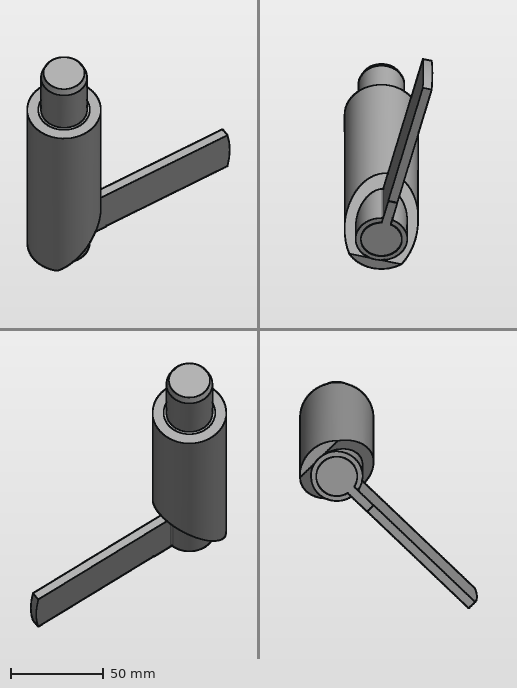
import cadquery as cq
import math

OVERALL_HEIGHT = 148.0

SLEEVE_RADIUS = 20.0
SLEEVE_TOP = 116.2
BORE_DIAMETER = 28.0
BORE_RADIUS = BORE_DIAMETER / 2
RAMP_HEIGHT_ON_AXIS = 14.0

HUB_RADIUS = BORE_RADIUS
STEM_DIAMETER = 25.0
STEM_RADIUS = STEM_DIAMETER / 2
TIP_RADIUS = 11.1
TIP_TAPER_LENGTH = 3.7

BLADE_THICKNESS = 5.0
BLADE_HEIGHT = 27.0
BLADE_REACH = 104.5
BLADE_END_BULGE = 1.5
ROOT_FILLET = 1.0

PAD_HEIGHT = 0.5
PAD_RADIUS = 11.1
PAD_REACH = 25.6

BASE_Z = PAD_HEIGHT
BLADE_TOP = BASE_Z + BLADE_HEIGHT


def make_cylinder(radius, bottom, top):
    return cq.Workplane("XY").workplane(offset=bottom).circle(radius).extrude(top - bottom)


def make_sleeve():
    """Tube whose lower end is cut away by a 45 degree ramp facing the blade."""
    tube = make_cylinder(SLEEVE_RADIUS, BASE_Z, SLEEVE_TOP)
    tube = tube.cut(make_cylinder(BORE_RADIUS, BASE_Z, SLEEVE_TOP))
    cutter_reach = 2 * SLEEVE_RADIUS
    ramp_cutter = (
        cq.Workplane("YZ")
        .moveTo(-cutter_reach, RAMP_HEIGHT_ON_AXIS - cutter_reach)
        .lineTo(cutter_reach, RAMP_HEIGHT_ON_AXIS - cutter_reach)
        .lineTo(cutter_reach, RAMP_HEIGHT_ON_AXIS + cutter_reach)
        .close()
        .extrude(SLEEVE_RADIUS, both=True)
    )
    return tube.cut(ramp_cutter)


def make_pin_shaft():
    """Turned shaft: wide hub up to the sleeve top, slimmer stem, tapered tip."""
    return (
        cq.Workplane("XZ")
        .moveTo(0, BASE_Z)
        .lineTo(HUB_RADIUS, BASE_Z)
        .lineTo(HUB_RADIUS, SLEEVE_TOP)
        .lineTo(STEM_RADIUS, SLEEVE_TOP)
        .lineTo(STEM_RADIUS, OVERALL_HEIGHT - TIP_TAPER_LENGTH)
        .lineTo(TIP_RADIUS, OVERALL_HEIGHT)
        .lineTo(0, OVERALL_HEIGHT)
        .close()
        .revolve(360, (0, 0, 0), (0, 1, 0))
    )


def make_blade():
    """Flat bar along +Y with a gently bowed end."""
    corner_y = BLADE_REACH - BLADE_END_BULGE
    return (
        cq.Workplane("YZ")
        .moveTo(0, BASE_Z)
        .lineTo(corner_y, BASE_Z)
        .threePointArc((BLADE_REACH, BASE_Z + BLADE_HEIGHT / 2), (corner_y, BLADE_TOP))
        .lineTo(0, BLADE_TOP)
        .close()
        .extrude(BLADE_THICKNESS / 2, both=True)
    )


def make_root_fillets():
    """Concave fillets between both blade faces and the hub."""
    half_blade = BLADE_THICKNESS / 2
    centre_x = half_blade + ROOT_FILLET
    centre_distance = HUB_RADIUS + ROOT_FILLET
    centre_y = math.sqrt(centre_distance**2 - centre_x**2)
    hub_share = HUB_RADIUS / centre_distance
    web = (
        cq.Workplane("XY")
        .workplane(offset=BASE_Z)
        .lineTo(centre_x * hub_share, centre_y * hub_share)
        .lineTo(centre_x, centre_y)
        .lineTo(half_blade, centre_y)
        .lineTo(0, centre_y)
        .close()
        .extrude(BLADE_HEIGHT)
    )
    hollow = make_cylinder(ROOT_FILLET, BASE_Z, BLADE_TOP).translate((centre_x, centre_y, 0))
    fillet = web.cut(hollow)
    return fillet.union(fillet.mirror("YZ"))


def make_pad():
    """Shallow round pad with a strip running out below the blade."""
    disc = make_cylinder(PAD_RADIUS, 0, PAD_HEIGHT)
    strip = cq.Workplane("XY").box(
        BLADE_THICKNESS, PAD_REACH, PAD_HEIGHT, centered=(True, False, False)
    )
    return disc.union(strip)


def make_pin():
    return make_pin_shaft().union(make_blade()).union(make_root_fillets()).union(make_pad())


sleeve = make_sleeve()
pin = make_pin()
result = cq.Compound.makeCompound([sleeve.val(), pin.val()])